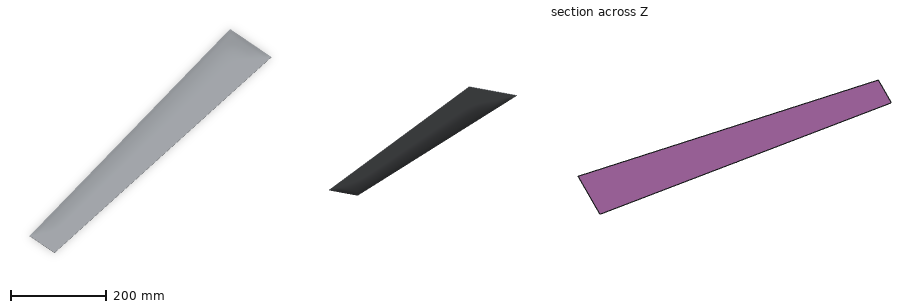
import cadquery as cq

length = 681.0
wide_width = 113.0
narrow_width = 68.0
thickness = 1.1

outline = [
    (-narrow_width / 2, -length / 2),
    (narrow_width / 2, -length / 2),
    (wide_width / 2, length / 2),
    (-wide_width / 2, length / 2),
]

result = cq.Workplane("XY").polyline(outline).close().extrude(thickness)